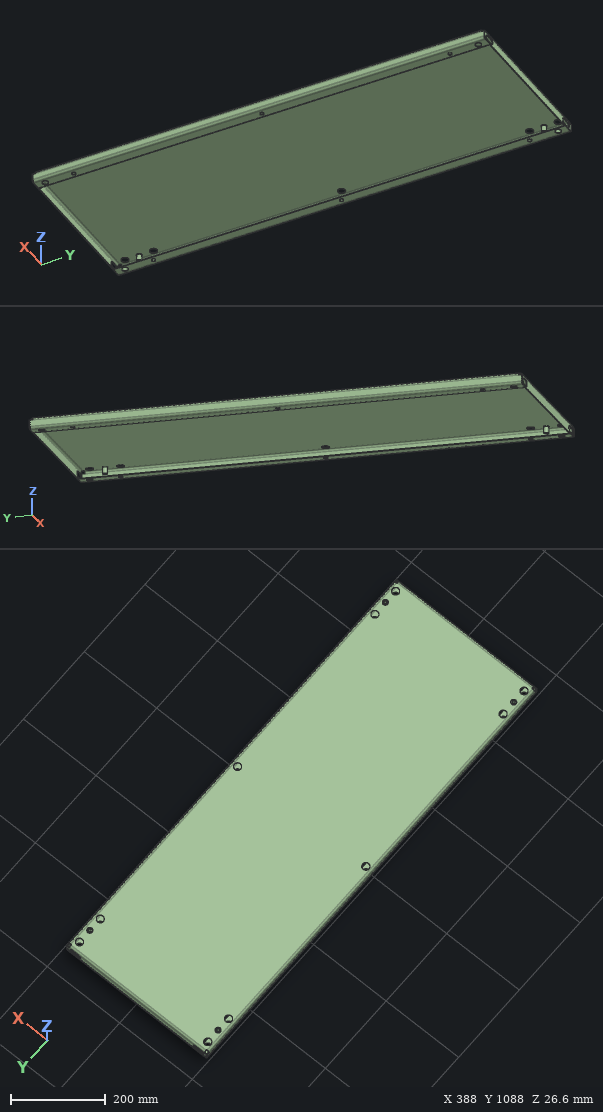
import cadquery as cq

WIDTH = 388.0
LENGTH = 1088.0
HEIGHT = 26.0
SHEET = 2.0
MID_HEIGHT = HEIGHT / 2
BEND_RADIUS = 6.0
INNER_RADIUS = BEND_RADIUS - SHEET
RETURN_WIDTH = 28.0
CORNER_GAP = 0.5
CORNER_RELIEF = 7.5

ROW_EDGE_DISTANCE = 17.0
ROW_X = WIDTH / 2 - ROW_EDGE_DISTANCE
CORNER_HOLE_Y = 521.0
NUT_Y = 487.0
OUTER_SCREW_Y = 452.5
ACCESS_DIAMETER = 17.0
CORNER_LIP_DIAMETER = 14.0
SCREW_DIAMETER = 9.0

SLOT_LENGTH = 29.0
SLOT_HEIGHT = 13.0
SLOT_X = 170.0
SLOT_Z = 10.5

NOTCH_HEIGHT = SHEET + 0.5
NOTCH_WIDTH = RETURN_WIDTH + 1.0

NUT_HEAD_DIAMETER = 13.0
NUT_HEAD_HEIGHT = 0.6
NUT_SHANK_DIAMETER = 11.0
NUT_LENGTH_BELOW_TOP = 15.5
NUT_BORE = 6.0

SIDES = (-1, 1)


def mirrored_points(x, y):
    return [(x_sign * x, y_sign * y) for x_sign in SIDES for y_sign in SIDES]


CORNER_HOLES = mirrored_points(ROW_X, CORNER_HOLE_Y)
NUT_POINTS = mirrored_points(ROW_X, NUT_Y)
SCREW_HOLES = mirrored_points(ROW_X, OUTER_SCREW_Y) + [(side * ROW_X, 0) for side in SIDES]


def bent_block(width, length, height, radius, edges):
    """A block standing on Z = 0 with the chosen long edges rounded."""
    block = cq.Workplane("XY").box(width, length, height, centered=(True, True, False))
    return block.edges(edges).fillet(radius)


def side_channel():
    """Top sheet with both long sides bent down and turned inward at the bottom."""
    outside = bent_block(WIDTH, LENGTH, HEIGHT, BEND_RADIUS, "|Y")
    inside = bent_block(WIDTH - 2 * SHEET, LENGTH, HEIGHT - 2 * SHEET, INNER_RADIUS, "|Y")
    opening = cq.Workplane("XY").box(WIDTH - 2 * RETURN_WIDTH, LENGTH, 2 * SHEET)
    return outside.cut(inside.translate((0, 0, SHEET))).cut(opening)


def rounded_end_envelope():
    """Block that the side channel is trimmed to, so that its ends follow the end bends."""
    return bent_block(WIDTH, LENGTH, HEIGHT, BEND_RADIUS, "|X and >Z")


def end_flanges():
    """Bent-down flanges at both short ends, fitting between the side walls."""
    width = WIDTH - 2 * (SHEET + CORNER_GAP)
    outside = bent_block(width, LENGTH, HEIGHT, BEND_RADIUS, "|X and >Z")
    inside = bent_block(width, LENGTH - 2 * SHEET, HEIGHT - SHEET, INNER_RADIUS, "|X and >Z")
    middle = cq.Workplane("XY").box(width, LENGTH - 2 * BEND_RADIUS, 2 * HEIGHT)
    notch_points = [(side * WIDTH / 2, 0) for side in SIDES]
    notches = cq.Workplane("XY").pushPoints(notch_points).rect(2 * NOTCH_WIDTH, LENGTH).extrude(NOTCH_HEIGHT)
    return outside.cut(inside).cut(middle).cut(notches)


def corner_reliefs():
    """Cutters that open the two bends meeting at each top corner."""
    reliefs = cq.Workplane("XY").workplane(offset=HEIGHT - BEND_RADIUS)
    reliefs = reliefs.pushPoints(mirrored_points(WIDTH / 2, LENGTH / 2))
    return reliefs.rect(2 * CORNER_RELIEF, 2 * CORNER_RELIEF).extrude(BEND_RADIUS)


def vertical_holes(points, diameter, bottom, top):
    holes = cq.Workplane("XY").workplane(offset=bottom).pushPoints(points)
    return holes.circle(diameter / 2).extrude(top - bottom)


def end_slots():
    slots = cq.Workplane("XZ").pushPoints([(side * SLOT_X, SLOT_Z) for side in SIDES])
    return slots.slot2D(SLOT_LENGTH, SLOT_HEIGHT).extrude(LENGTH / 2, both=True)


def make_panel():
    panel = side_channel().intersect(rounded_end_envelope()).union(end_flanges())
    panel = panel.cut(corner_reliefs())
    panel = panel.cut(vertical_holes(CORNER_HOLES + SCREW_HOLES, ACCESS_DIAMETER, MID_HEIGHT, HEIGHT))
    panel = panel.cut(vertical_holes(CORNER_HOLES, CORNER_LIP_DIAMETER, 0, MID_HEIGHT))
    panel = panel.cut(vertical_holes(SCREW_HOLES, SCREW_DIAMETER, 0, MID_HEIGHT))
    panel = panel.cut(vertical_holes(NUT_POINTS, NUT_SHANK_DIAMETER, MID_HEIGHT, HEIGHT))
    return panel.cut(end_slots())


def make_rivet_nut(x, y):
    nut = cq.Workplane("XY").circle(NUT_HEAD_DIAMETER / 2).extrude(NUT_HEAD_HEIGHT)
    nut = nut.faces("<Z").workplane().circle(NUT_SHANK_DIAMETER / 2).extrude(NUT_LENGTH_BELOW_TOP)
    nut = nut.faces(">Z").workplane().hole(NUT_BORE)
    return nut.translate((x, y, HEIGHT))


panel = make_panel()
rivet_nuts = [make_rivet_nut(x, y) for x, y in NUT_POINTS]
result = cq.Compound.makeCompound([panel.val(), *[nut.val() for nut in rivet_nuts]])